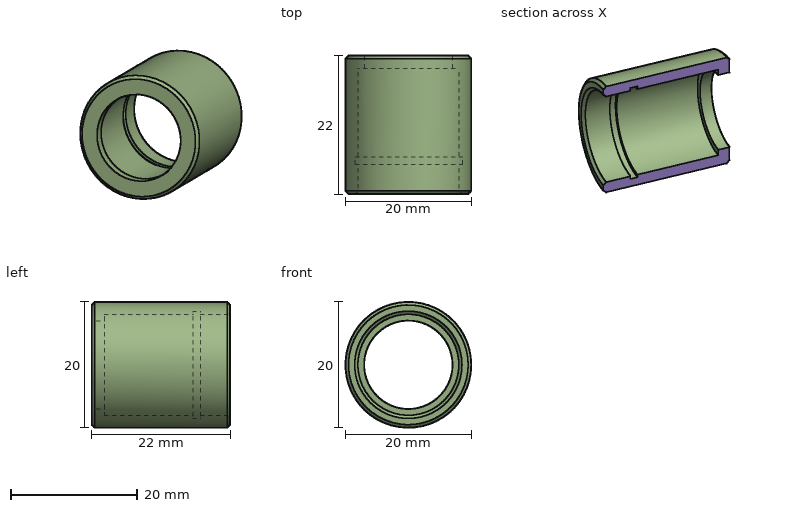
import cadquery as cq

length = 22.0
outer_radius = 20.0 / 2
edge_chamfer = 0.5

bore_radius = 8.0
lip_radius = 7.0
lip_thickness = 2.0

groove_radius = bore_radius + 0.5
groove_start = 4.75
groove_width = 1.2

front = -length / 2


def cylinder(radius, start, depth):
    """Solid cylinder along +Y from the plane y = start."""
    return cq.Workplane("XZ", origin=(0, start, 0)).circle(radius).extrude(-depth)


body = cylinder(outer_radius, front, length).faces("<Y or >Y").edges().chamfer(edge_chamfer)

body = body.cut(cylinder(lip_radius, front, length))
body = body.cut(cylinder(bore_radius, front, length - lip_thickness))

mouth_edge = cq.selectors.RadiusNthSelector(0)
body = body.faces("<Y").edges(mouth_edge).chamfer(edge_chamfer)

result = body.cut(cylinder(groove_radius, front + groove_start, groove_width))